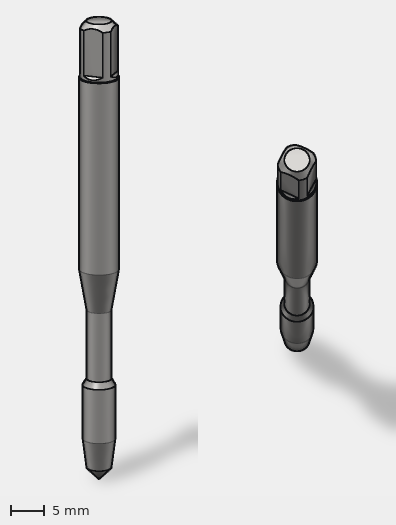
import cadquery as cq
import math

total_length = 71.55

thread_diameter = 4.92
neck_diameter = 3.76
tip_half_angle = 45.0
lead_top = 6.4
thread_top = 14.75
thread_shoulder_angle = 30.0

shank_diameter = 6.0
shank_taper_bottom = 26.5
shank_taper_angle = 10.0

drive_diameter = 5.76
drive_across_flats = 4.9
drive_flat_length = 8.0
drive_length = 8.85
drive_step_angle = 45.0
drive_top_chamfer = 1.0
runout_angle = 45.0

thread_radius = thread_diameter / 2
neck_radius = neck_diameter / 2
shank_radius = shank_diameter / 2
drive_radius = drive_diameter / 2


def cone_length(radius_change, half_angle):
    """Axial length of a cone whose side leans half_angle away from the axis."""
    return radius_change / math.tan(math.radians(half_angle))


tip_length = cone_length(neck_radius, tip_half_angle)
shoulder_length = cone_length(thread_radius - neck_radius, thread_shoulder_angle)
head_top = thread_top + shoulder_length
shank_taper_top = shank_taper_bottom + cone_length(shank_radius - neck_radius, shank_taper_angle)
flat_bottom = total_length - drive_flat_length
flat_offset = drive_across_flats / 2
drive_bottom = total_length - drive_length
drive_step_length = cone_length(shank_radius - drive_radius, drive_step_angle)


def revolve_profile(points):
    """Turn a closed (radius, height) outline around the Z axis."""
    return cq.Workplane("XZ").polyline(points).close().revolve(360, (0, 0, 0), (0, 1, 0))


def make_head():
    """Threaded head: pointed tip, tapered lead, full-diameter thread and sloped shoulder."""
    return revolve_profile([
        (0, 0),
        (neck_radius, tip_length),
        (thread_radius, lead_top),
        (thread_radius, thread_top),
        (neck_radius, head_top),
        (0, head_top),
    ])


def make_flat_cutter():
    """Material outside the +X drive flat, with a sloped run-out at its lower end."""
    reach = 2 * shank_radius
    slope_drop = cone_length(reach - flat_offset, runout_angle)
    return (
        cq.Workplane("XZ")
        .polyline([
            (flat_offset, flat_bottom),
            (reach, flat_bottom - slope_drop),
            (reach, total_length),
            (flat_offset, total_length),
        ])
        .close()
        .extrude(shank_radius, both=True)
    )


def make_shank():
    """Neck, tapered transition, cylindrical shank and square drive."""
    shank = revolve_profile([
        (0, head_top),
        (neck_radius, head_top),
        (neck_radius, shank_taper_bottom),
        (shank_radius, shank_taper_top),
        (shank_radius, drive_bottom),
        (drive_radius, drive_bottom + drive_step_length),
        (drive_radius, total_length - drive_top_chamfer),
        (drive_radius - drive_top_chamfer, total_length),
        (0, total_length),
    ])
    flat_cutter = make_flat_cutter()
    for turn in range(4):
        shank = shank.cut(flat_cutter.rotate((0, 0, 0), (0, 0, 1), 90 * turn))
    return shank


head = make_head()
shank = make_shank()

result = cq.Compound.makeCompound([head.val(), shank.val()])